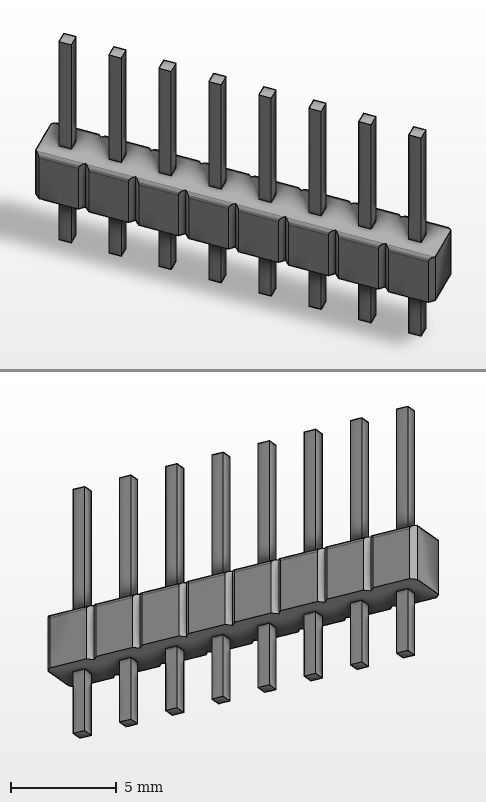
import cadquery as cq

pin_count = 8
row_length = 20.32
body_depth = 2.5
body_height = 2.8
pin_width = 0.63
pin_length = 12.7
pin_offset = -0.05
pin_tail = 3.21
notch_depth = 0.26
top_edge_radius = 0.2

pitch = row_length / pin_count


def make_body():
    """Insulator bar standing on Z = 0, with its two long top edges rounded."""
    bar = cq.Workplane("XY").box(row_length, body_depth, body_height, centered=(True, True, False))
    return bar.faces(">Z").edges("|X").fillet(top_edge_radius)


def make_notch(x, side):
    """Vertical V-notch prism on the front (side = -1) or back (side = 1) face."""
    face_y = side * body_depth / 2
    return (
        cq.Workplane("XY")
        .moveTo(x - notch_depth, face_y)
        .lineTo(x, face_y - side * notch_depth)
        .lineTo(x + notch_depth, face_y)
        .close()
        .extrude(body_height)
    )


def make_pin(x):
    """Square pin running through the body and out at both ends."""
    return (
        cq.Workplane("XY", origin=(x, 0, -pin_tail))
        .rect(pin_width, pin_width)
        .extrude(pin_length)
    )


result = make_body()

for boundary in range(pin_count + 1):
    boundary_x = boundary * pitch - row_length / 2
    for side in (-1, 1):
        result = result.cut(make_notch(boundary_x, side))

for position in range(pin_count):
    result = result.union(make_pin((position + 0.5) * pitch - row_length / 2 + pin_offset))